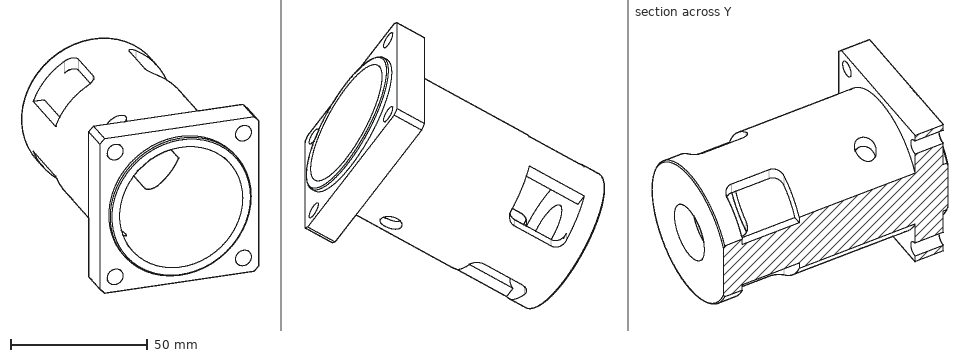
import cadquery as cq

total_length = 95.0
spigot_length = 2.0
flange_thickness = 12.0
flange_end = total_length - spigot_length
flange_start = flange_end - flange_thickness

body_diameter = 56.0
spigot_diameter = 55.0
bore_diameter = 48.0
shaft_hole_diameter = 22.0
end_wall_thickness = 8.0
edge_chamfer = 0.5

flange_size = 62.0
flange_corner_diameter = 85.0
bolt_spacing = 50.0
bolt_hole_diameter = 6.2

window_start = 8.0
window_length = 24.0
window_offset = 10.0
window_corner_radius = 4.0

cross_hole_diameter = 8.0
cross_hole_x = 65.75
cross_hole_y = -15.0


def cylinder_along_x(diameter, start, end):
    return cq.Workplane("YZ", origin=(start, 0, 0)).circle(diameter / 2).extrude(end - start)


def make_sleeve():
    sleeve = cylinder_along_x(body_diameter, 0, flange_end)
    return sleeve.faces("<X").edges().chamfer(edge_chamfer)


def make_flange():
    """Square plate with its corners turned down to a common diameter and four bolt holes."""
    square = (
        cq.Workplane("YZ", origin=(flange_start, 0, 0))
        .rect(flange_size, flange_size)
        .extrude(flange_thickness)
    )
    plate = square.intersect(cylinder_along_x(flange_corner_diameter, flange_start, flange_end))
    return (
        plate.faces(">X")
        .workplane(origin=(0, 0, 0))
        .rect(bolt_spacing, bolt_spacing, forConstruction=True)
        .vertices()
        .hole(bolt_hole_diameter)
    )


def make_spigot():
    spigot = cylinder_along_x(spigot_diameter, flange_start, total_length)
    return spigot.faces(">X").edges().chamfer(edge_chamfer)


def make_window_cutter(y_side, z_side):
    """Block outside both offset planes, rounded where its ends meet the inner Y wall."""
    reach = body_diameter / 2
    inner_wall = "<Y" if y_side > 0 else ">Y"
    return (
        cq.Workplane("XY", origin=(window_start, y_side * window_offset, z_side * window_offset))
        .rect(window_length, 2 * y_side * reach, centered=False)
        .extrude(z_side * reach)
        .faces(inner_wall)
        .edges("|Z")
        .fillet(window_corner_radius)
    )


def make_cross_hole_cutter():
    return (
        cq.Workplane("XY")
        .center(cross_hole_x, cross_hole_y)
        .circle(cross_hole_diameter / 2)
        .extrude(body_diameter / 2, both=True)
    )


result = make_sleeve().union(make_flange()).union(make_spigot())
result = result.cut(cylinder_along_x(bore_diameter, end_wall_thickness, total_length))
result = result.cut(cylinder_along_x(shaft_hole_diameter, 0, end_wall_thickness))
for y_side in (-1, 1):
    for z_side in (-1, 1):
        result = result.cut(make_window_cutter(y_side, z_side))
result = result.cut(make_cross_hole_cutter())